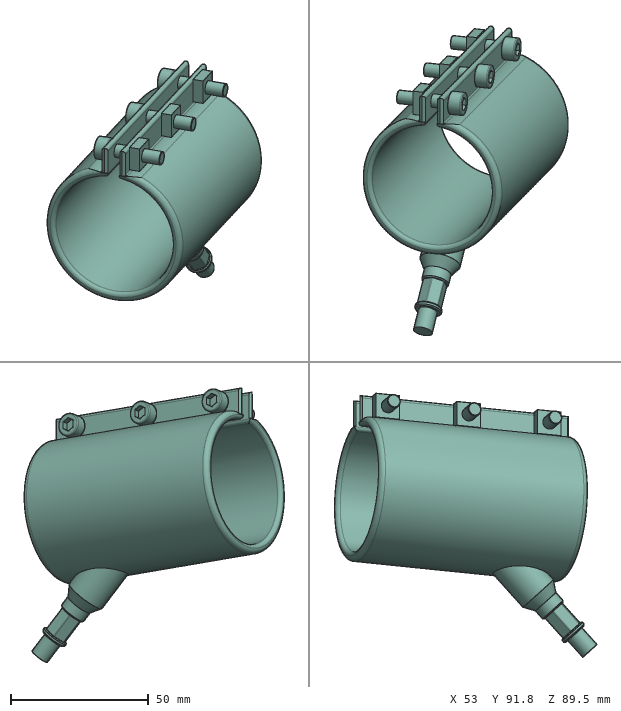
import cadquery as cq
import math

RING_LENGTH = 79.95
RING_OUTER_RADIUS = 26.5
RING_INNER_RADIUS = 23.0
OUTER_END_ROUND = 1.9
INNER_END_ROUND = RING_OUTER_RADIUS - RING_INNER_RADIUS - OUTER_END_ROUND

GAP_HALF_WIDTH = 2.3
FLANGE_THICKNESS = 2.3
FLANGE_OUTER_X = GAP_HALF_WIDTH + FLANGE_THICKNESS
FLANGE_TOP = 34.3
FLANGE_END_BEVEL = 0.6
SEAT_HEIGHT = 24.35
SEAT_CROWN = 0.32
LIP_ROUND = 1.4
ROOT_ROUND = 0.5

SCREW_PITCH = 31.0
SCREW_HEIGHT = 29.7
SCREW_DIAMETER = 5.0
SCREW_END_X = 15.4
SCREW_END_CHAMFER = 0.23
HEAD_DIAMETER = 8.5
HEAD_LENGTH = 5.1
HEAD_EDGE_ROUND = 0.41
SOCKET_ACROSS_FLATS = 4.3
SOCKET_DEPTH = 2.5
NUT_WIDTH = 9.0
NUT_THICKNESS = 3.9

NOZZLE_TILT = 45.0
NOZZLE_TIP_Y = 49.4
NOZZLE_TIP_Z = -52.7
TIP_DIAMETER = 7.0
COLLAR_DIAMETER = 10.0
COLLAR_CHAMFER = 0.5
HEX_ACROSS_FLATS = 8.0
HEX_EDGE_ROUND = 0.3
BASE_DIAMETER = 15.0
COLLAR_START = 8.2
COLLAR_END = 9.9
HEX_END = 19.7
CONE_START = 24.0
CONE_END = 28.0
BASE_END = 50.5


def hexagon_diameter(across_flats):
    return across_flats / math.cos(math.pi / 6)


def cylinder_y(radius):
    """Full-length cylinder on the ring axis."""
    return cq.Workplane("XZ").circle(radius).extrude(RING_LENGTH / 2, both=True)


def make_ring():
    """Full ring with rounded ends, revolved about the Y axis."""
    half = RING_LENGTH / 2
    outer, inner = RING_OUTER_RADIUS, RING_INNER_RADIUS
    return (
        cq.Workplane("XY")
        .moveTo(inner, INNER_END_ROUND - half)
        .radiusArc((inner + INNER_END_ROUND, -half), -INNER_END_ROUND)
        .radiusArc((outer, OUTER_END_ROUND - half), -OUTER_END_ROUND)
        .lineTo(outer, half - OUTER_END_ROUND)
        .radiusArc((outer - OUTER_END_ROUND, half), -OUTER_END_ROUND)
        .radiusArc((inner, half - INNER_END_ROUND), -INNER_END_ROUND)
        .close()
        .revolve(360, (0, 0, 0), (0, 1, 0))
    )


def make_split():
    """Gap cutter that flares into the bore, leaving a rounded lip on each side."""
    lip_x = GAP_HALF_WIDTH + LIP_ROUND
    lip_z = math.sqrt((RING_INNER_RADIUS + LIP_ROUND) ** 2 - lip_x**2)
    bore_share = RING_INNER_RADIUS / (RING_INNER_RADIUS + LIP_ROUND)
    flare_x = lip_x * bore_share
    flare_z = lip_z * bore_share
    return (
        cq.Workplane("XZ")
        .moveTo(-GAP_HALF_WIDTH, FLANGE_TOP)
        .lineTo(GAP_HALF_WIDTH, FLANGE_TOP)
        .lineTo(GAP_HALF_WIDTH, lip_z)
        .radiusArc((flare_x, flare_z), -LIP_ROUND)
        .lineTo(-flare_x, flare_z)
        .radiusArc((-GAP_HALF_WIDTH, lip_z), -LIP_ROUND)
        .close()
        .extrude(RING_LENGTH / 2, both=True)
    )


def make_seats():
    """Cutter for the slightly crowned seats on both sides of the split."""
    half_width = math.sqrt(RING_OUTER_RADIUS**2 - SEAT_HEIGHT**2)
    crown_x = (half_width + FLANGE_OUTER_X) / 2
    crown_z = SEAT_HEIGHT + SEAT_CROWN
    return (
        cq.Workplane("XZ")
        .moveTo(-half_width, SEAT_HEIGHT)
        .threePointArc((-crown_x, crown_z), (-FLANGE_OUTER_X, SEAT_HEIGHT))
        .lineTo(FLANGE_OUTER_X, SEAT_HEIGHT)
        .threePointArc((crown_x, crown_z), (half_width, SEAT_HEIGHT))
        .lineTo(half_width, RING_OUTER_RADIUS)
        .lineTo(-half_width, RING_OUTER_RADIUS)
        .close()
        .extrude(RING_LENGTH / 2, both=True)
    )


def make_flange():
    """Flange on the +X side, with a full-round top edge and ends bevelled to a ridge."""
    half = RING_LENGTH / 2
    middle_x = (GAP_HALF_WIDTH + FLANGE_OUTER_X) / 2
    top_round = FLANGE_THICKNESS / 2
    plate = (
        cq.Workplane("XZ")
        .moveTo(GAP_HALF_WIDTH, SEAT_HEIGHT)
        .lineTo(GAP_HALF_WIDTH, FLANGE_TOP - top_round)
        .threePointArc((middle_x, FLANGE_TOP), (FLANGE_OUTER_X, FLANGE_TOP - top_round))
        .lineTo(FLANGE_OUTER_X, SEAT_HEIGHT)
        .close()
        .extrude(half, both=True)
    )
    plan = (
        cq.Workplane("XY")
        .polyline([
            (GAP_HALF_WIDTH, FLANGE_END_BEVEL - half),
            (middle_x, -half),
            (FLANGE_OUTER_X, FLANGE_END_BEVEL - half),
            (FLANGE_OUTER_X, half - FLANGE_END_BEVEL),
            (middle_x, half),
            (GAP_HALF_WIDTH, half - FLANGE_END_BEVEL),
        ])
        .close()
        .extrude(FLANGE_TOP)
    )
    return plate.intersect(plan)


def make_clamp():
    """Split ring with a flange standing at each side of the split."""
    flange = make_flange()
    clamp = make_ring().cut(make_seats()).cut(make_split())
    clamp = clamp.union(flange).union(flange.mirror("YZ"))
    for side in (-1, 1):
        root = cq.selectors.NearestToPointSelector((side * FLANGE_OUTER_X, 0, SEAT_HEIGHT))
        clamp = clamp.edges("|Y").edges(root).fillet(ROOT_ROUND)
    return clamp


def make_screw():
    """Socket head screw with its square nut, centred on Y = 0."""
    shank_length = SCREW_END_X + FLANGE_OUTER_X
    shank = cq.Workplane("YZ").circle(SCREW_DIAMETER / 2).extrude(shank_length)
    shank = shank.faces(">X").chamfer(SCREW_END_CHAMFER)
    head = cq.Workplane("YZ").circle(HEAD_DIAMETER / 2).extrude(-HEAD_LENGTH)
    head = head.edges().fillet(HEAD_EDGE_ROUND)
    socket = (
        cq.Workplane("YZ", origin=(-HEAD_LENGTH, 0, 0))
        .polygon(6, hexagon_diameter(SOCKET_ACROSS_FLATS))
        .extrude(SOCKET_DEPTH)
        .rotate((0, 0, 0), (1, 0, 0), 90)
    )
    nut = (
        cq.Workplane("YZ", origin=(2 * FLANGE_OUTER_X, 0, 0))
        .rect(NUT_WIDTH, NUT_WIDTH)
        .extrude(NUT_THICKNESS)
    )
    screw = shank.union(head).cut(socket).union(nut)
    return screw.translate((-FLANGE_OUTER_X, 0, SCREW_HEIGHT))


def make_nozzle():
    """Nozzle built upwards from its tip, then tilted and moved into place."""
    tip, collar, base = (d / 2 for d in (TIP_DIAMETER, COLLAR_DIAMETER, BASE_DIAMETER))
    turned = (
        cq.Workplane("XZ")
        .polyline([
            (0, 0),
            (tip, 0),
            (tip, COLLAR_START),
            (collar - COLLAR_CHAMFER, COLLAR_START),
            (collar, COLLAR_START + COLLAR_CHAMFER),
            (collar, COLLAR_END - COLLAR_CHAMFER),
            (collar - COLLAR_CHAMFER, COLLAR_END),
            (tip, COLLAR_END),
            (tip, HEX_END),
            (collar - COLLAR_CHAMFER, HEX_END),
            (collar, HEX_END + COLLAR_CHAMFER),
            (collar, CONE_START),
            (base, CONE_END),
            (base, BASE_END),
            (0, BASE_END),
        ])
        .close()
        .revolve(360, (0, 0, 0), (0, 1, 0))
    )
    hexagon = (
        cq.Workplane("XY", origin=(0, 0, COLLAR_END))
        .polygon(6, hexagon_diameter(HEX_ACROSS_FLATS))
        .extrude(HEX_END - COLLAR_END)
        .edges("|Z")
        .fillet(HEX_EDGE_ROUND)
        .rotate((0, 0, 0), (0, 0, 1), 90)
    )
    nozzle = turned.union(hexagon)
    nozzle = nozzle.rotate((0, 0, 0), (1, 0, 0), NOZZLE_TILT)
    nozzle = nozzle.translate((0, NOZZLE_TIP_Y, NOZZLE_TIP_Z))
    return nozzle.cut(cylinder_y((RING_OUTER_RADIUS + RING_INNER_RADIUS) / 2))


result = make_clamp()
for index in (-1, 0, 1):
    result = result.union(make_screw().translate((0, index * SCREW_PITCH, 0)))
result = result.union(make_nozzle())